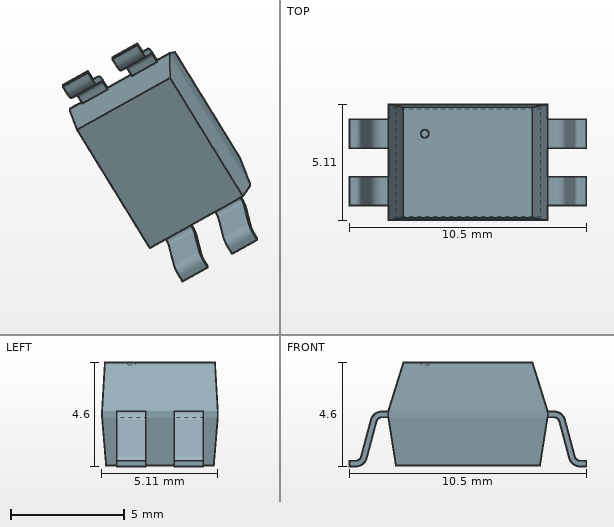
import cadquery as cq
import math

overall_length = 10.46
overall_height = 4.6
standoff = 0.04

body_length = 7.03
body_width = 5.11
band_bottom = 2.18
band_top = 2.46
top_inset_x = 0.67
top_inset_y = 0.13
bottom_inset_x = 0.33
bottom_inset_y = 0.18

lead_thickness = 0.26
lead_width = 1.29
lead_pitch = 2.53
lead_top = 2.44
foot_length = 0.27
inner_radius = 0.25
outer_radius = inner_radius + lead_thickness
lead_lean = math.radians(15)

marker_diameter = 0.36
marker_depth = 0.1
marker_x = -1.9
marker_y = lead_pitch / 2


def tapered_half(start_z, end_z, inset_x, inset_y):
    """Frustum from the full band outline to an outline inset on every side."""
    return (
        cq.Workplane("XY", origin=(0, 0, start_z))
        .rect(body_length, body_width)
        .workplane(offset=end_z - start_z)
        .rect(body_length - 2 * inset_x, body_width - 2 * inset_y)
        .loft(ruled=True)
    )


def make_marker():
    return (
        cq.Workplane("XY", origin=(marker_x, marker_y, overall_height - marker_depth))
        .circle(marker_diameter / 2)
        .extrude(marker_depth)
    )


def make_housing():
    band = (
        cq.Workplane("XY", origin=(0, 0, band_bottom))
        .rect(body_length, body_width)
        .extrude(band_top - band_bottom)
    )
    upper = tapered_half(band_top, overall_height, top_inset_x, top_inset_y)
    lower = tapered_half(band_bottom, standoff, bottom_inset_x, bottom_inset_y)
    return band.union(upper).union(lower).cut(make_marker())


def arc_point(center, radius, angle):
    return (center[0] + radius * math.cos(angle), center[1] + radius * math.sin(angle))


def make_left_lead(center_y):
    """Lead on the -X side, bent in the XZ plane and butted against the band."""
    tip_x = -overall_length / 2
    root_x = -body_length / 2

    foot_center = (tip_x + foot_length, outer_radius)
    bend_rise = lead_top - 2 * outer_radius
    radius_sum = inner_radius + outer_radius
    leg_length = (bend_rise + radius_sum * math.sin(lead_lean)) / math.cos(lead_lean)
    bend_run = radius_sum * math.cos(lead_lean) + leg_length * math.sin(lead_lean)
    shoulder_center = (foot_center[0] + bend_run, lead_top - outer_radius)

    foot_start = -math.pi / 2
    foot_end = -lead_lean
    foot_middle = (foot_start + foot_end) / 2
    shoulder_start = math.pi - lead_lean
    shoulder_end = math.pi / 2
    shoulder_middle = (shoulder_start + shoulder_end) / 2

    profile = (
        cq.Workplane("XZ", origin=(0, center_y, 0))
        .moveTo(tip_x, 0)
        .lineTo(foot_center[0], 0)
        .threePointArc(
            arc_point(foot_center, outer_radius, foot_middle),
            arc_point(foot_center, outer_radius, foot_end),
        )
        .lineTo(*arc_point(shoulder_center, inner_radius, shoulder_start))
        .threePointArc(
            arc_point(shoulder_center, inner_radius, shoulder_middle),
            arc_point(shoulder_center, inner_radius, shoulder_end),
        )
        .lineTo(root_x, lead_top - lead_thickness)
        .lineTo(root_x, lead_top)
        .lineTo(shoulder_center[0], lead_top)
        .threePointArc(
            arc_point(shoulder_center, outer_radius, shoulder_middle),
            arc_point(shoulder_center, outer_radius, shoulder_start),
        )
        .lineTo(*arc_point(foot_center, inner_radius, foot_end))
        .threePointArc(
            arc_point(foot_center, inner_radius, foot_middle),
            arc_point(foot_center, inner_radius, foot_start),
        )
        .lineTo(tip_x, lead_thickness)
        .close()
    )
    return profile.extrude(lead_width / 2, both=True)


housing = make_housing()
marker = make_marker()

leads = []
for row_y in (-lead_pitch / 2, lead_pitch / 2):
    left_lead = make_left_lead(row_y)
    leads.append(left_lead.val())
    leads.append(left_lead.mirror("YZ").val())

result = cq.Compound.makeCompound([housing.val(), marker.val(), *leads])